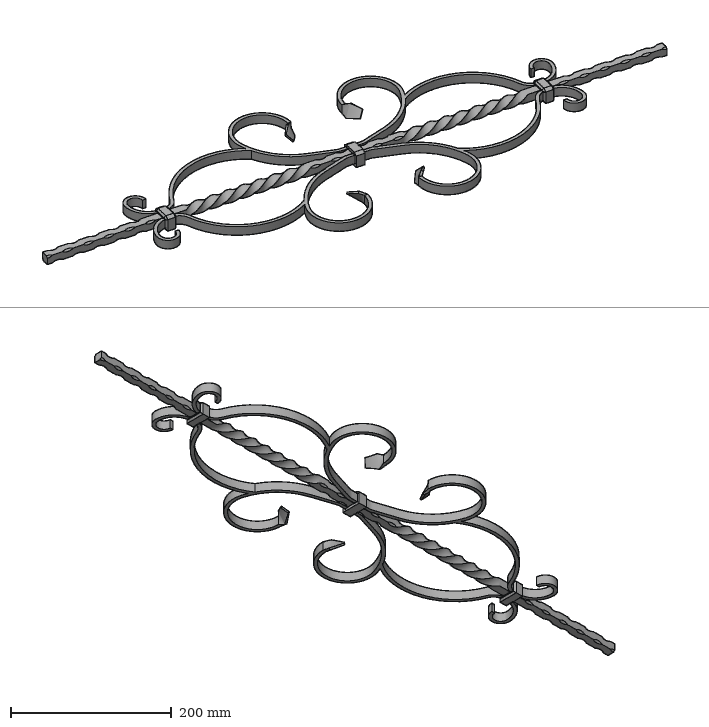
import cadquery as cq
import math

bar_length = 900.0
bar_size = 12.0
twist_start = 68.0
twist_length = 180.0
twist_angle = -720.0

dent_pitch = 15.0
dent_length = dent_pitch
dent_depth = 1.8
dents_in_middle = 4
dents_in_end = 10

strip_thickness = 5.0
strip_depth = 13.0
strip_x = bar_size / 2 + strip_thickness / 2
strip_straight = 15.0
bend_radius = 20.0

collar_width = 29.0
collar_height = 20.49
middle_collar_length = 13.0
end_collar_length = 16.0
end_collar_y = 274.5
rim_chamfer = 2.5
shoulder_width = 5.0
shoulder_height = 3.0

curl_radius = 39.5
curl_x = 135.0 - strip_thickness / 2 - curl_radius
curl_y = 78.8
lead_radius = 92.0
lead_angle = 107.0

inner_arc_radius = 20.0
outer_arc_radius = 31.0
outer_arc_y = 277.0
small_curl_radius = 13.0
bow_radius = 95.0
bow_reach = 82.3
bow_y = 164.0

leaf_sections = [
    (curl_x, curl_y - curl_radius, 180.0, 0.0, strip_depth, strip_thickness),
    (curl_x - 8.0, curl_y - curl_radius + 3.0, 155.0, 25.0, 20.0, 3.5),
    (curl_x - 22.0, curl_y - curl_radius + 13.0, 138.0, 50.0, 13.0, 2.5),
]


def polar(center, radius, angle):
    """Point at an angle, in degrees from +X, on a circle."""
    turn = math.radians(angle)
    return (center[0] + radius * math.cos(turn), center[1] + radius * math.sin(turn))


def direction(start, end):
    """Angle from one point to another, in degrees from +X."""
    return math.degrees(math.atan2(end[1] - start[1], end[0] - start[0]))


def add_arc(path, center, radius, start_angle, end_angle):
    """Continue a path along a circle, from the path's end at start_angle to end_angle."""
    middle = polar(center, radius, (start_angle + end_angle) / 2)
    return path.threePointArc(middle, polar(center, radius, end_angle))


def sweep_strip(path, start, heading):
    """Sweep the strip's section along a path that leaves start in the heading direction."""
    turn = math.radians(heading)
    section = cq.Plane(
        origin=(start[0], start[1], 0),
        xDir=(0, 0, 1),
        normal=(math.cos(turn), math.sin(turn), 0),
    )
    profile = cq.Workplane(section).rect(strip_depth, strip_thickness)
    return profile.sweep(path)


curl_center = (curl_x, curl_y)
lead_center = polar(curl_center, lead_radius - curl_radius, lead_angle + 180)
bow_center = (bow_reach - bow_radius, bow_y)
inner_arc_x = strip_x + inner_arc_radius
inner_arc_rise = math.sqrt((bow_radius + inner_arc_radius) ** 2 - (inner_arc_x - bow_center[0]) ** 2)
inner_arc_center = (inner_arc_x, bow_y + inner_arc_rise)
outer_arc_center = (strip_x + outer_arc_radius, outer_arc_y)
small_curl_center = (outer_arc_center[0], outer_arc_y + outer_arc_radius - small_curl_radius)


def make_curl_strip():
    """Strip from the middle of the bar, out along the lead arc and round the large curl."""
    foot = (strip_x, 0)
    bend_center = (strip_x + bend_radius, strip_straight)
    lean = math.acos((bend_radius - lead_radius) / math.dist(bend_center, lead_center))
    touch_angle = direction(bend_center, lead_center) + math.degrees(lean)
    path = cq.Workplane("XY").moveTo(*foot).lineTo(strip_x, strip_straight)
    path = add_arc(path, bend_center, bend_radius, 180, touch_angle)
    path = path.lineTo(*polar(lead_center, lead_radius, touch_angle))
    path = add_arc(path, lead_center, lead_radius, touch_angle, lead_angle)
    path = add_arc(path, curl_center, curl_radius, lead_angle, -90)
    return sweep_strip(path, foot, 90)


def make_bow_strip():
    """Strip from the lead arc, round the bow, through the end collar and round the small curl."""
    gap = math.dist(lead_center, bow_center)
    along = (bow_radius**2 - lead_radius**2 + gap**2) / (2 * gap)
    spread = math.degrees(math.acos(along / bow_radius))
    start_angle = direction(bow_center, lead_center) + spread
    inner_arc_angle = direction(bow_center, inner_arc_center)
    start = polar(bow_center, bow_radius, start_angle)
    path = cq.Workplane("XY").moveTo(*start)
    path = add_arc(path, bow_center, bow_radius, start_angle, inner_arc_angle)
    path = add_arc(path, inner_arc_center, inner_arc_radius, inner_arc_angle + 180, 180)
    path = path.lineTo(strip_x, outer_arc_y)
    path = add_arc(path, outer_arc_center, outer_arc_radius, 180, 90)
    path = add_arc(path, small_curl_center, small_curl_radius, 90, -90)
    return sweep_strip(path, start, start_angle + 90)


def make_leaf():
    """Flared, leaning blade at the end of the large curl."""
    wires = []
    for x, y, heading, lean, width, thickness in leaf_sections:
        turn = math.radians(heading)
        run = cq.Vector(math.cos(turn), math.sin(turn), 0)
        inward = cq.Vector(math.sin(turn), -math.cos(turn), 0)
        tilt = math.radians(lean)
        across = inward * math.sin(tilt) + cq.Vector(0, 0, math.cos(tilt))
        section = cq.Plane(origin=(x, y, 0), xDir=across, normal=run)
        wires.append(cq.Workplane(section).rect(width, thickness).wires().val())
    return cq.Workplane(obj=cq.Solid.makeLoft(wires, True))


def make_scrolls():
    """All the scrollwork on the +X side of the bar, as one solid."""
    half = make_curl_strip().union(make_bow_strip()).union(make_leaf())
    return half.union(half.mirror("XZ"))


def make_collar():
    """Collar at the middle of the bar, with its two upper corners bevelled."""
    half_width = collar_width / 2
    top = collar_height / 2
    outline = [
        (-half_width, -top),
        (half_width, -top),
        (half_width, top - shoulder_height),
        (half_width - shoulder_width, top),
        (shoulder_width - half_width, top),
        (-half_width, top - shoulder_height),
    ]
    return cq.Workplane("XZ").polyline(outline).close().extrude(middle_collar_length / 2, both=True)


def make_end_collar(y):
    """Longer collar near an end of the bar, with chamfered rims."""
    half_width = collar_width / 2
    top = collar_height / 2
    outline = [
        (-half_width, -top),
        (half_width, -top),
        (half_width, top - shoulder_height),
        (half_width - shoulder_width, top),
        (shoulder_width - half_width, top),
        (-half_width, top - shoulder_height),
    ]
    collar = cq.Workplane("XZ").polyline(outline).close().extrude(end_collar_length / 2, both=True)
    return collar.faces("<Y or >Y").chamfer(rim_chamfer).translate((0, y, 0))


def make_dents():
    """Cylinders that cut the dents, each lying square to the bar and to the corner's diagonal."""
    radius = ((dent_length / 2) ** 2 + dent_depth**2) / (2 * dent_depth)
    reach = bar_size / math.sqrt(2) - dent_depth + radius
    last = round(bar_length / 2 / dent_pitch)
    dents = []
    for step in range(-last, last + 1):
        if dents_in_middle < abs(step) < last - dents_in_end:
            continue
        first_corner = 45 if step % 2 == 0 else 135
        for corner in (first_corner, first_corner + 180):
            turn = math.radians(corner)
            outward = cq.Vector(math.cos(turn), 0, math.sin(turn))
            axis = cq.Vector(-math.sin(turn), 0, math.cos(turn))
            middle = outward * reach + cq.Vector(0, step * dent_pitch, 0)
            base = middle - axis * bar_size
            dents.append(cq.Solid.makeCylinder(radius, 2 * bar_size, base, axis))
    return dents


def bar_section(y):
    """The bar's square section at a place along the bar, facing +Y."""
    return cq.Workplane(cq.Plane((0, y, 0), (1, 0, 0), (0, 1, 0))).rect(bar_size, bar_size)


def make_bar():
    """Bar with dented plain stretches, two twisted stretches and the three collars."""
    twist_end = twist_start + twist_length
    bar = bar_section(-twist_start).extrude(2 * twist_start)
    for y in (-bar_length / 2, twist_end):
        bar = bar.union(bar_section(y).extrude(bar_length / 2 - twist_end))
    bar = bar.cut(cq.Workplane(obj=cq.Compound.makeCompound(make_dents())))
    for y in (-twist_end, twist_start):
        bar = bar.union(bar_section(y).twistExtrude(twist_length, twist_angle))
    bar = bar.union(make_collar())
    for y in (-end_collar_y, end_collar_y):
        bar = bar.union(make_end_collar(y))
    return bar


right_scrolls = make_scrolls()
left_scrolls = right_scrolls.mirror("YZ")
bar = make_bar().cut(right_scrolls).cut(left_scrolls)

result = cq.Compound.makeCompound([bar.val(), right_scrolls.val(), left_scrolls.val()])